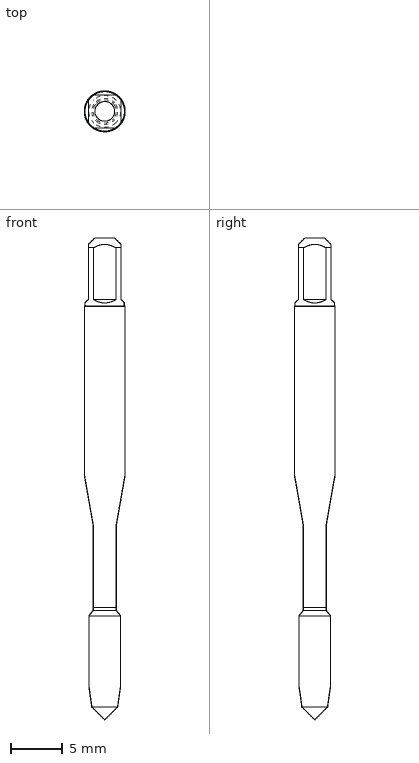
import cadquery as cq

total_length = 46.95
shank_radius = 4.0 / 2
shank_bottom = 23.85

drive_radius = 3.85 / 2
drive_width = 3.2
drive_top_radius = 1.93 / 2
flat_length = 6.0
shank_top = 40.35
shoulder_chamfer = shank_radius - drive_radius
drive_chamfer = drive_radius - drive_top_radius

neck_radius = 2.25 / 2
neck_top = 18.95
neck_bottom = 10.95

head_radius = 3.1 / 2
head_chamfer_top = 10.65
head_chamfer_bottom = 10.15
lead_top = 3.25
tip_radius = 1.25
tip_height = tip_radius


def revolve_profile(points):
    """Revolve a closed (radius, height) outline about the Z axis."""
    return cq.Workplane("XZ").polyline(points).close().revolve(360, (0, 0, 0), (0, 1, 0))


def make_flat_cutter():
    """Remove stock outside one flat, with a 45 degree run-out at its lower end."""
    flat_distance = drive_width / 2
    flat_bottom = total_length - flat_length
    outer_distance = 2 * shank_radius
    runout_drop = outer_distance - flat_distance
    return (
        cq.Workplane("XZ")
        .moveTo(flat_distance, total_length)
        .lineTo(flat_distance, flat_bottom)
        .lineTo(outer_distance, flat_bottom - runout_drop)
        .lineTo(outer_distance, total_length)
        .close()
        .extrude(shank_radius, both=True)
    )


def make_shank():
    """Square-ended shank tapering into the slender neck."""
    shank = revolve_profile([
        (0, neck_bottom),
        (neck_radius, neck_bottom),
        (neck_radius, neck_top),
        (shank_radius, shank_bottom),
        (shank_radius, shank_top - shoulder_chamfer),
        (drive_radius, shank_top),
        (drive_radius, total_length - drive_chamfer),
        (drive_top_radius, total_length),
        (0, total_length),
    ])
    flat_cutter = make_flat_cutter()
    for angle in (0, 90, 180, 270):
        shank = shank.cut(flat_cutter.rotate((0, 0, 0), (0, 0, 1), angle))
    return shank


def make_cutting_head():
    """Cutting head with a collar meeting the neck, a tapered lead and a point."""
    return revolve_profile([
        (0, 0),
        (tip_radius, tip_height),
        (head_radius, lead_top),
        (head_radius, head_chamfer_bottom),
        (neck_radius, head_chamfer_top),
        (neck_radius, neck_bottom),
        (0, neck_bottom),
    ])


shank = make_shank()
cutting_head = make_cutting_head()
result = cq.Compound.makeCompound([shank.val(), cutting_head.val()])